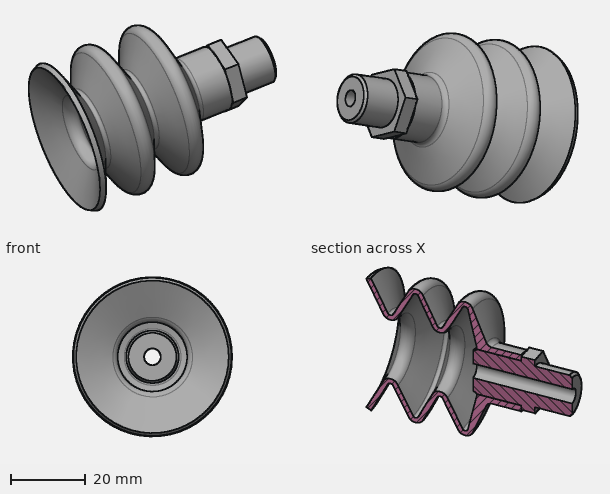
import cadquery as cq
import math


wall = 1.65
fold_pitch = 14.65
first_neck = 7.2
first_crest = 14.65
crest_count = 2
crest_radius = 21.3
crest_bend = 2.45
neck_radius = 10.9
neck_bend = 0.85

collar_radius = 9.0
collar_start = 37.2
collar_end = 45.95
collar_bend = 1.7
cavity_end_radius = 7.55
cavity_end_slope = 13.0

plug_radius = 7.0
tip_radius = 6.4
tip_length = 1.05
hex_across_flats = 17.0
hex_end = 50.0
thread_radius = 6.6
thread_chamfer = 0.75
total_length = 61.0
passage_radius = 2.2

CREST = 1
NECK = -1


def crest(y):
    """Outward bend: centre radius, centre Y, bend radius, side of the centre the wall is on."""
    return crest_radius - crest_bend, y, crest_bend, CREST


def neck(y, radius=neck_radius, bend=neck_bend):
    """Inward bend: centre radius, centre Y, bend radius, side of the centre the wall is on."""
    return radius + bend, y, bend, NECK


def cone_angle(neck_side, crest_side):
    """Direction of the outward normal of the cone that is tangent to a neck and a crest."""
    rise = crest_side[0] - neck_side[0]
    step = crest_side[1] - neck_side[1]
    bends = neck_side[2] + crest_side[2]
    swing = math.acos(-bends / math.hypot(rise, step))
    return math.atan2(step, rise) - math.copysign(swing, step)


def wall_point(bend, angle, depth):
    """Point of a bend where the outward normal has this angle, at a depth below the outer skin."""
    centre_radius, centre_y, bend_radius, side = bend
    reach = side * bend_radius - depth
    return centre_radius + reach * math.cos(angle), centre_y + reach * math.sin(angle)


def bend_arc(bend, first_angle, last_angle, depth):
    """Start, middle and end of the arc of a bend."""
    middle_angle = (first_angle + last_angle) / 2
    return [wall_point(bend, angle, depth) for angle in (first_angle, middle_angle, last_angle)]


def make_bellows():
    bends = [crest(first_neck - fold_pitch / 2)]
    for fold in range(crest_count):
        bends.append(neck(first_neck + fold * fold_pitch))
        bends.append(crest(first_crest + fold * fold_pitch))
    collar_fillet = neck(collar_start, collar_radius, collar_bend)
    bends.append(collar_fillet)

    angles = []
    for first, second in zip(bends, bends[1:]):
        if first[3] == NECK:
            angles.append(cone_angle(first, second))
        else:
            angles.append(cone_angle(second, first))

    folds = list(zip(bends[1:-1], angles, angles[1:]))
    outer_arcs = [bend_arc(bend, first, last, 0) for bend, first, last in folds]
    outer_arcs.append(bend_arc(collar_fillet, angles[-1], 0, 0))
    inner_arcs = [bend_arc(bend, first, last, wall) for bend, first, last in folds[:-1]]
    last_crest, first_angle, _ = folds[-1]
    end_angle = math.radians(90 - cavity_end_slope)
    inner_arcs.append(bend_arc(last_crest, first_angle, end_angle, wall))

    lip_radius, lip_y = inner_arcs[0][0]
    mouth_radius = lip_radius + lip_y * math.tan(angles[0])
    rim = (mouth_radius + wall * math.cos(angles[0]), wall * math.sin(angles[0]))

    cone_radius, cone_y = inner_arcs[-1][2]
    cavity_end = cone_y + (cone_radius - cavity_end_radius) / math.tan(end_angle)

    outline = cq.Workplane("XY").moveTo(mouth_radius, 0).lineTo(*rim)
    for start, middle, end in outer_arcs:
        outline = outline.lineTo(*start).threePointArc(middle, end)
    outline = outline.lineTo(collar_radius, collar_end).lineTo(plug_radius, collar_end)
    outline = outline.lineTo(plug_radius, cavity_end).lineTo(cavity_end_radius, cavity_end)
    for start, middle, end in reversed(inner_arcs):
        outline = outline.lineTo(*end).threePointArc(middle, start)
    body = outline.close().revolve(360, (0, 0, 0), (0, 1, 0))
    return body, cavity_end


def cylinder(radius, start, end):
    """Cylinder along Y."""
    plane = cq.Workplane("XZ", origin=(0, start, 0))
    return plane.circle(radius).extrude(start - end)


def make_fitting(cavity_end):
    taper = math.degrees(math.atan2(plug_radius - tip_radius, tip_length))
    plug = cylinder(plug_radius, cavity_end, collar_end)
    tip_base = cq.Workplane("XZ", origin=(0, cavity_end, 0)).circle(plug_radius)
    tip = tip_base.extrude(tip_length, taper=taper)
    thread = cylinder(thread_radius, hex_end, total_length).faces(">Y").chamfer(thread_chamfer)
    hex_across_corners = hex_across_flats / math.cos(math.pi / 6)
    nut = (
        cq.Workplane("XZ", origin=(0, collar_end, 0))
        .polygon(6, hex_across_corners)
        .extrude(collar_end - hex_end)
    )
    passage = cylinder(passage_radius, 0, total_length)
    return plug.union(tip).union(nut).union(thread).cut(passage)


bellows, bore_start = make_bellows()
fitting = make_fitting(bore_start)

result = cq.Compound.makeCompound([bellows.val(), fitting.solids().val()])